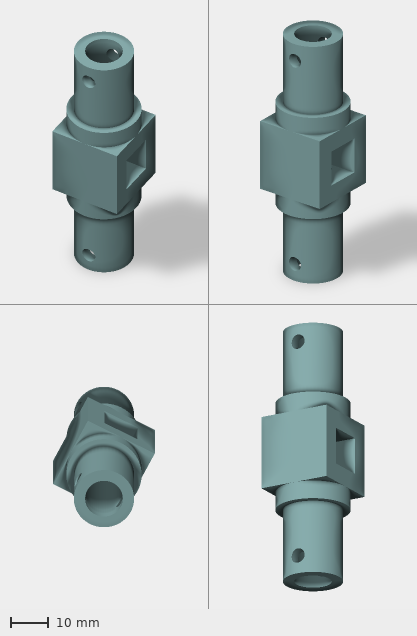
import cadquery as cq

total_length = 70.0
block_side = 20.0
tube_length = 20.0
tube_diameter = 16.0
bore_diameter = 10.0
window_side = 10.0
pin_hole_diameter = 4.0
pin_hole_end_distance = 5.0

collar_length = (total_length - block_side - 2 * tube_length) / 2
collar_diameter = block_side
collar_span = block_side + 2 * collar_length
pin_hole_height = total_length / 2 - pin_hole_end_distance


def centred_cylinder(diameter, length, plane="XY"):
    """Cylinder centred on the origin, its axis normal to the plane."""
    return cq.Workplane(plane).circle(diameter / 2).extrude(length / 2, both=True)


body = cq.Workplane("XY").box(block_side, block_side, block_side)
body = body.union(centred_cylinder(collar_diameter, collar_span))
body = body.union(centred_cylinder(tube_diameter, total_length))

body = body.cut(centred_cylinder(bore_diameter, total_length))
body = body.cut(cq.Workplane("XY").box(block_side, window_side, window_side))

pin_hole = centred_cylinder(pin_hole_diameter, block_side, plane="XZ")
for height in (-pin_hole_height, pin_hole_height):
    body = body.cut(pin_hole.translate((0, 0, height)))

result = body